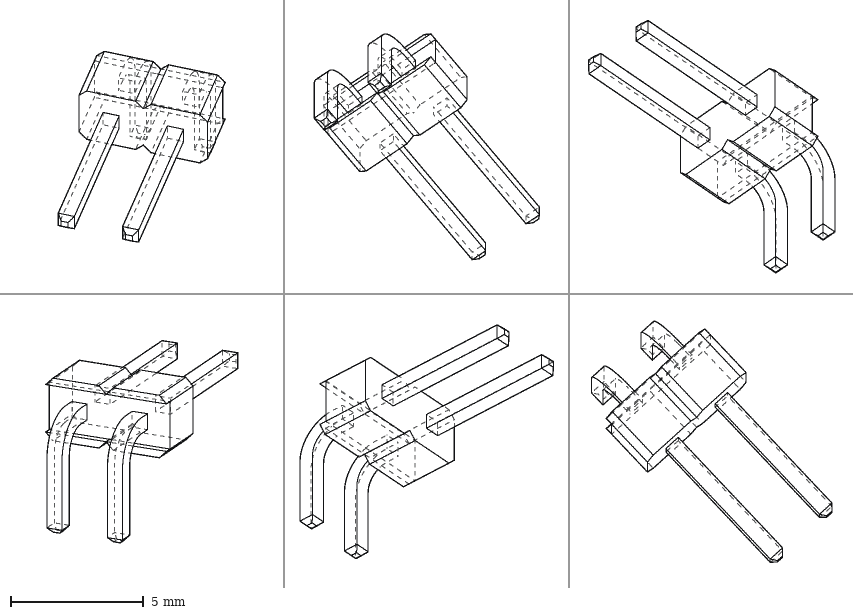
import cadquery as cq

pin_count = 2
housing_width = 5.08
pitch = housing_width / pin_count
housing_height = 2.5
housing_depth = 2.29
corner_chamfer = 0.3
recess_depth = 0.3

pin_width = 0.64
tip_length = 0.2
tip_width = 0.27
bend_inner_radius = 0.96
front_reach = 6.0
total_length = 10.13
total_height = 5.51

half_pin = pin_width / 2
bend_radius = bend_inner_radius + half_pin
leg_y = total_length - front_reach - half_pin
leg_bottom = housing_height / 2 - total_height
bend_start_y = leg_y - bend_radius
front_shoulder_y = tip_length - front_reach
leg_shoulder_z = leg_bottom + tip_length


def make_housing_block(x):
    """Block with chamfered long edges, centred on its pin."""
    return (
        cq.Workplane("XY")
        .box(pitch, housing_depth, housing_height, centered=(True, False, True))
        .edges("|Y")
        .chamfer(corner_chamfer)
        .translate((x, 0, 0))
    )


def make_recess():
    """Channel along the whole back face, between the chamfers."""
    recess_height = housing_height - 2 * corner_chamfer
    return (
        cq.Workplane("XY")
        .box(housing_width, recess_depth, recess_height, centered=(True, False, True))
        .translate((0, housing_depth - recess_depth, 0))
    )


def make_tip(origin, direction):
    """Square pyramid frustum narrowing from the pin section."""
    plane = cq.Plane(origin=origin, xDir=(1, 0, 0), normal=direction)
    return (
        cq.Workplane(plane)
        .rect(pin_width, pin_width)
        .workplane(offset=tip_length)
        .rect(tip_width, tip_width)
        .loft(ruled=True)
    )


def make_pin(x):
    """Bent square pin with a tapered tip at each end."""
    outer_radius = bend_radius + half_pin
    shank = (
        cq.Workplane("YZ", origin=(x, 0, 0))
        .moveTo(front_shoulder_y, half_pin)
        .lineTo(bend_start_y, half_pin)
        .radiusArc((leg_y + half_pin, half_pin - outer_radius), outer_radius)
        .lineTo(leg_y + half_pin, leg_shoulder_z)
        .lineTo(leg_y - half_pin, leg_shoulder_z)
        .lineTo(leg_y - half_pin, -bend_radius)
        .radiusArc((bend_start_y, -half_pin), -bend_inner_radius)
        .lineTo(front_shoulder_y, -half_pin)
        .close()
        .extrude(half_pin, both=True)
    )
    front_tip = make_tip((x, front_shoulder_y, 0), (0, -1, 0))
    leg_tip = make_tip((x, leg_y, leg_shoulder_z), (0, 0, -1))
    return shank.union(front_tip).union(leg_tip)


pin_positions = [(i - (pin_count - 1) / 2) * pitch for i in range(pin_count)]

result = cq.Workplane("XY")
for pin_x in pin_positions:
    result = result.union(make_housing_block(pin_x))
result = result.cut(make_recess())
for pin_x in pin_positions:
    result = result.union(make_pin(pin_x))